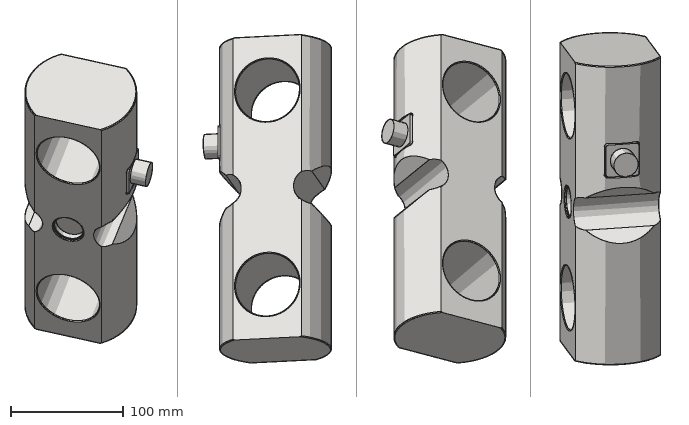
import cadquery as cq

LENGTH = 280.0
BAR_DIAMETER = 100.0
FLAT_THICKNESS = 78.0
END_CHAMFER = 0.8

BORE_DIAMETER = 58.0
BORE_SPACING = 180.0
BORE_CHAMFER = 0.8

NOTCH_RADIUS = 15.0
NOTCH_CENTER_X = 39.0

RECESS_DIAMETER = 26.3
RECESS_DEPTH = 7.0
RECESS_STEP_DIAMETER = 28.0
RECESS_STEP_DEPTH = 2.0
RECESS_CHAMFER = 0.8

CONNECTOR_Z = 51.5
PLATE_SIZE = 30.0
PLATE_CORNER_RADIUS = 2.0
POCKET_GAP = 1.0
PLATE_THICKNESS = 5.0
PLATE_SETBACK = 0.5
STUB_DIAMETER = 22.0
OVERALL_WIDTH = 113.7

bar_radius = BAR_DIAMETER / 2
half_length = LENGTH / 2
front_y = -FLAT_THICKNESS / 2
plate_face_x = bar_radius - PLATE_SETBACK
plate_base_x = plate_face_x - PLATE_THICKNESS
stub_length = OVERALL_WIDTH - bar_radius - plate_face_x


def make_bar():
    """Round bar with chamfered ends, trimmed to two flats."""
    bar = cq.Workplane("XY").circle(bar_radius).extrude(half_length, both=True)
    bar = bar.faces("<Z or >Z").chamfer(END_CHAMFER)
    return bar.intersect(cq.Workplane("XY").box(BAR_DIAMETER, FLAT_THICKNESS, LENGTH))


def make_cross_bore(z):
    """Cutter for one through bore, with both rims chamfered."""
    bore = (
        cq.Workplane("XZ")
        .center(0, z)
        .circle(BORE_DIAMETER / 2)
        .extrude(FLAT_THICKNESS / 2, both=True)
    )
    return bore.union(make_rim(BORE_DIAMETER, BORE_CHAMFER, z)).union(
        make_rim(BORE_DIAMETER, BORE_CHAMFER, z).mirror("XZ")
    )


def make_rim(diameter, chamfer, z):
    """Cone that chamfers the rim of a round hole in the front flat."""
    radius = diameter / 2
    cone = cq.Solid.makeCone(
        radius + chamfer, radius, chamfer, cq.Vector(0, front_y, z), cq.Vector(0, 1, 0)
    )
    return cq.Workplane(obj=cone)


def make_blind_hole(diameter, depth):
    """Cutter for a flat-bottomed hole in the middle of the front flat."""
    hole = cq.Solid.makeCylinder(
        diameter / 2, depth, cq.Vector(0, front_y, 0), cq.Vector(0, 1, 0)
    )
    return cq.Workplane(obj=hole)


def make_recess():
    """Cutter for the stepped recess with its chamfered rim."""
    deep_hole = make_blind_hole(RECESS_DIAMETER, RECESS_DEPTH)
    step = make_blind_hole(RECESS_STEP_DIAMETER, RECESS_STEP_DEPTH)
    return deep_hole.union(step).union(make_rim(RECESS_STEP_DIAMETER, RECESS_CHAMFER, 0))


def make_notch():
    """Cutter for the +X waist notch, running through along Y."""
    mouth_depth = bar_radius - NOTCH_CENTER_X
    mouth_half_height = NOTCH_RADIUS + mouth_depth
    return (
        cq.Workplane("XZ")
        .moveTo(NOTCH_CENTER_X, NOTCH_RADIUS)
        .threePointArc((NOTCH_CENTER_X - NOTCH_RADIUS, 0), (NOTCH_CENTER_X, -NOTCH_RADIUS))
        .lineTo(bar_radius, -mouth_half_height)
        .lineTo(bar_radius, mouth_half_height)
        .close()
        .extrude(FLAT_THICKNESS / 2, both=True)
    )


def make_seat_block(size, corner_radius, thickness):
    """Rounded square block reaching out along +X from the pocket floor."""
    return (
        cq.Workplane("YZ", origin=(plate_base_x, 0, CONNECTOR_Z))
        .rect(size, size)
        .extrude(thickness)
        .edges("|X")
        .fillet(corner_radius)
    )


def make_pocket():
    """Cutter for the connector pocket, wider than the plate by the gap on every side."""
    return make_seat_block(
        PLATE_SIZE + 2 * POCKET_GAP,
        PLATE_CORNER_RADIUS + POCKET_GAP,
        bar_radius - plate_base_x,
    )


def make_housing():
    """Link body with its bores, notches, recess and connector pocket."""
    housing = make_bar()
    for z in (-BORE_SPACING / 2, BORE_SPACING / 2):
        housing = housing.cut(make_cross_bore(z))
    notch = make_notch()
    housing = housing.cut(notch).cut(notch.mirror("YZ"))
    housing = housing.cut(make_recess())
    return housing.cut(make_pocket())


def make_connector():
    """Plate seated in the pocket, with the round stub standing on it."""
    stub = (
        cq.Workplane("YZ", origin=(plate_face_x, 0, CONNECTOR_Z))
        .circle(STUB_DIAMETER / 2)
        .extrude(stub_length)
    )
    plate = make_seat_block(PLATE_SIZE, PLATE_CORNER_RADIUS, PLATE_THICKNESS)
    return plate.union(stub)


housing = make_housing()
connector = make_connector()
result = cq.Compound.makeCompound([housing.val(), connector.val()])